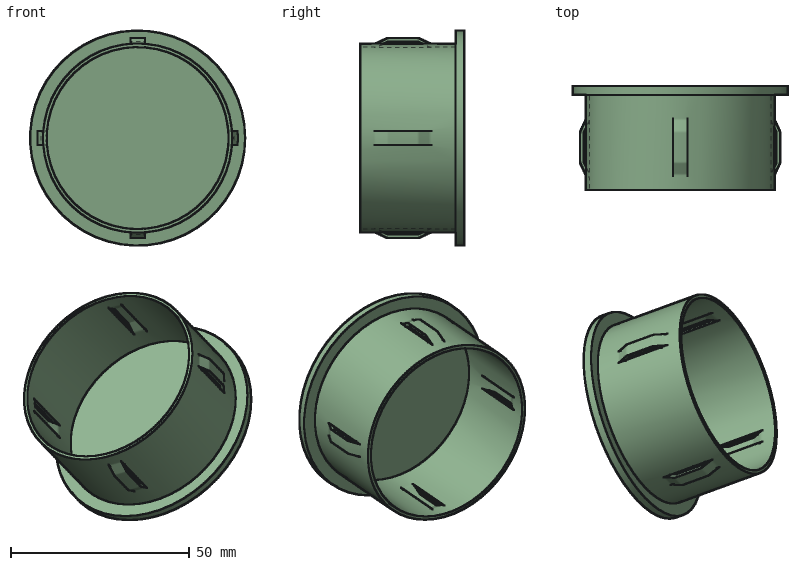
import cadquery as cq
import math

flange_diameter = 60.3
flange_thickness = 2.5

total_length = 29.2
tube_length = total_length - flange_thickness
tube_outer_diameter = 53.0
tube_outer_radius = tube_outer_diameter / 2
wall = 1.0
tube_inner_radius = tube_outer_radius - wall

clip_count = 4
clip_width = 4.0
clip_half_length = 8.0
crown_half_length = clip_half_length / 2
clip_rise = 1.55
clip_center_from_rim = 12.0
clip_center_y = clip_center_from_rim - tube_length
bend_inside_radius = 0.5
bend_outside_radius = bend_inside_radius + wall
root_outer_radius = 1.5
root_inner_radius = root_outer_radius + wall

flank_run = clip_half_length - crown_half_length
radius_sum = root_outer_radius + bend_outside_radius
bend_angle = math.atan2(flank_run, radius_sum - clip_rise) - math.acos(
    radius_sum / math.hypot(flank_run, radius_sum - clip_rise)
)


def bend_points(root_radius, crown_radius, base, side):
    """Points along one flank, from the strip end up to the crown.

    Gives the start, middle and end of the root bend, then of the crown bend.
    The root bend is centred outside the strip and the crown bend inside it.
    """
    points = []
    for angle in (0, bend_angle / 2, bend_angle):
        y = clip_half_length - root_radius * math.sin(angle)
        points.append((side * y, base + root_radius * (1 - math.cos(angle))))
    for angle in (bend_angle, bend_angle / 2, 0):
        y = crown_half_length + crown_radius * math.sin(angle)
        points.append((side * y, base + clip_rise - crown_radius * (1 - math.cos(angle))))
    return [(clip_center_y + y, radius) for y, radius in points]


def add_surface(profile, root_radius, crown_radius, base, side):
    """Continue the profile from the strip end on one side to the end on the other."""
    rising = bend_points(root_radius, crown_radius, base, side)
    falling = bend_points(root_radius, crown_radius, base, -side)[::-1]
    return (
        profile.lineTo(*rising[0])
        .threePointArc(rising[1], rising[2])
        .lineTo(*rising[3])
        .threePointArc(rising[4], rising[5])
        .lineTo(*falling[0])
        .threePointArc(falling[1], falling[2])
        .lineTo(*falling[3])
        .threePointArc(falling[4], falling[5])
    )


def make_cap():
    """Flange disc with the open tube standing on its -Y face."""
    flange = cq.Workplane("XZ").circle(flange_diameter / 2).extrude(-flange_thickness)
    tube = cq.Workplane("XZ").circle(tube_outer_radius).circle(tube_inner_radius).extrude(tube_length)
    return flange.union(tube)


def make_window():
    """Block that is as wide and long as a clip and spans the +Z half of the tube."""
    height = flange_diameter / 2
    return (
        cq.Workplane("XY")
        .box(clip_width, 2 * clip_half_length, height, centered=(True, True, False))
        .translate((0, clip_center_y, 0))
    )


def make_clip():
    """Bent strip on the +Z side, curved around the tube axis and trimmed to width."""
    profile = cq.Workplane("YZ").moveTo(clip_center_y - clip_half_length, tube_inner_radius)
    profile = add_surface(profile, root_outer_radius, bend_outside_radius, tube_outer_radius, -1)
    profile = add_surface(profile, root_inner_radius, bend_inside_radius, tube_inner_radius, 1)
    ring = profile.close().revolve(360, (0, 0, 0), (1, 0, 0))
    return ring.intersect(make_window())


result = make_cap()
window = make_window()
clip = make_clip()
for index in range(clip_count):
    turn = index * 360 / clip_count
    result = result.cut(window.rotate((0, 0, 0), (0, 1, 0), turn))
    result = result.union(clip.rotate((0, 0, 0), (0, 1, 0), turn))